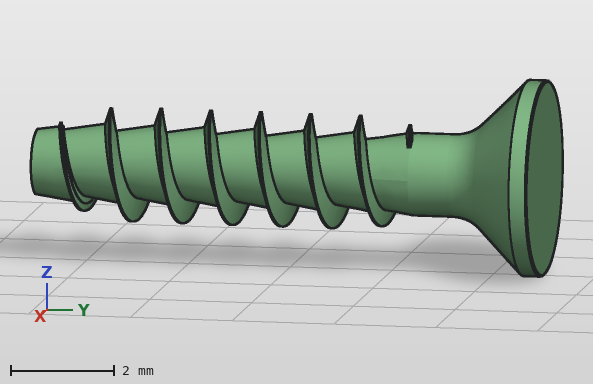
import cadquery as cq
import math


LENGTH = 10.0
HEAD_RADIUS = 1.9
RIM_HEIGHT = 0.35
RIM_CHAMFER = 0.03
SHANK_RADIUS = 0.8
NECK_FILLET = 0.8
SHANK_END = 2.54

PITCH = 0.98
CREST_RADIUS = 1.1
CREST_WIDTH = 0.03
RIDGE_DEPTH = 0.6
UPPER_FLANK = math.radians(12)
LOWER_FLANK = math.radians(18)
FIRST_CREST_Z = 2.405
START_TURNS = 0.14
LEAD_IN_END_TURNS = 1.25
START_CREST_RADIUS = 0.93
RUN_OUT_START_TURNS = 6.2
RUN_OUT_RATE = 0.31
STRETCH_TURNS = 0.95
POINTS_PER_STRETCH = 14

CORE_RADIUS = 0.778
ROOT_LARGE_RADIUS = 0.785
ROOT_TAPER = math.tan(math.radians(8.5))
TIP_RADIUS = 0.63
TIP_CHAMFER_WIDTH = 0.06
TIP_CHAMFER_HEIGHT = 0.02
GROOVE_GAP = 0.05
GROOVE_OUTER_RADIUS = 1.0
GROOVE_START_TURNS = -1.0
GROOVE_OVERRUN_TURNS = 0.5

TIP_TURNS = (LENGTH - FIRST_CREST_Z) / PITCH
GROOVE_END_TURNS = TIP_TURNS + GROOVE_OVERRUN_TURNS


def crest_radius(turns):
    """Crest radius: rises over the lead-in, is constant, then fades at the tip."""
    lead_in = (turns - START_TURNS) / (LEAD_IN_END_TURNS - START_TURNS)
    rising = START_CREST_RADIUS + (CREST_RADIUS - START_CREST_RADIUS) * lead_in
    fading = CREST_RADIUS - RUN_OUT_RATE * (turns - RUN_OUT_START_TURNS)
    return min(rising, CREST_RADIUS, fading)


def ridge_section(turns):
    """Corners (radius, offset along the axis) of the ridge, sunk into the core."""
    crest = crest_radius(turns)
    root = crest - RIDGE_DEPTH
    half_crest = CREST_WIDTH / 2
    return [
        (root, -half_crest - RIDGE_DEPTH * math.tan(UPPER_FLANK)),
        (crest, -half_crest),
        (crest, half_crest),
        (root, half_crest + RIDGE_DEPTH * math.tan(LOWER_FLANK)),
    ]


def groove_section(turns):
    """Corners of the groove between two ridges; the same at every turn."""
    upper = GROOVE_GAP
    lower = PITCH - GROOVE_GAP
    small_radius = ROOT_LARGE_RADIUS - PITCH * ROOT_TAPER
    return [
        (ROOT_LARGE_RADIUS, upper),
        (GROOVE_OUTER_RADIUS, upper),
        (GROOVE_OUTER_RADIUS, lower),
        (small_radius, lower),
    ]


def helix_point(radius, offset, turns):
    angle = 2 * math.pi * turns
    height = FIRST_CREST_Z + PITCH * turns + offset
    return cq.Vector(radius * math.cos(angle), radius * math.sin(angle), height)


def flank_faces(section, start_turns, end_turns):
    """Ruled faces joining the helical paths of neighbouring section corners."""
    step = (end_turns - start_turns) / POINTS_PER_STRETCH
    stations = [start_turns + step * i for i in range(POINTS_PER_STRETCH + 1)]
    corner_paths = zip(*[[helix_point(r, z, t) for r, z in section(t)] for t in stations])
    edges = [cq.Edge.makeSpline(list(path), parameters=stations) for path in corner_paths]
    return [
        cq.Face.makeRuledSurface(edge, following)
        for edge, following in zip(edges, edges[1:] + edges[:1])
    ]


def end_face(section, turns):
    corners = [helix_point(r, z, turns) for r, z in section(turns)]
    return cq.Face.makeFromWires(cq.Wire.makePolygon(corners, close=True))


def helical_solid(section, start_turns, end_turns):
    """Solid whose section corners each follow a right-handed helix."""
    faces = [end_face(section, start_turns), end_face(section, end_turns)]
    stretches = math.ceil((end_turns - start_turns) / STRETCH_TURNS)
    stretch = (end_turns - start_turns) / stretches
    for i in range(stretches):
        stretch_start = start_turns + stretch * i
        faces += flank_faces(section, stretch_start, stretch_start + stretch)
    solid = cq.Solid.makeSolid(cq.Shell.makeShell(faces))
    return cq.Workplane(obj=solid.fix())


def head_and_shank():
    """Revolved countersunk head, filleted into the plain shank."""
    fillet_drop = NECK_FILLET * (1 - math.cos(math.pi / 4))
    fillet_run = NECK_FILLET * math.sin(math.pi / 4)
    cone_end_radius = SHANK_RADIUS + fillet_drop
    cone_end_z = RIM_HEIGHT + HEAD_RADIUS - cone_end_radius
    fillet_end_z = cone_end_z + fillet_run
    fillet_mid = (
        SHANK_RADIUS + NECK_FILLET * (1 - math.cos(math.pi / 8)),
        fillet_end_z - NECK_FILLET * math.sin(math.pi / 8),
    )
    return (
        cq.Workplane("XZ")
        .moveTo(0, 0)
        .lineTo(HEAD_RADIUS - RIM_CHAMFER, 0)
        .lineTo(HEAD_RADIUS, RIM_CHAMFER)
        .lineTo(HEAD_RADIUS, RIM_HEIGHT)
        .lineTo(cone_end_radius, cone_end_z)
        .threePointArc(fillet_mid, (SHANK_RADIUS, fillet_end_z))
        .lineTo(SHANK_RADIUS, SHANK_END)
        .lineTo(0, SHANK_END)
        .close()
        .revolve(360, (0, 0, 0), (0, 1, 0))
    )


def cone(start_z, start_radius, end_z):
    """Coaxial cone frustum with the root taper, narrowing towards the tip."""
    end_radius = start_radius - (end_z - start_z) * ROOT_TAPER
    return cq.Workplane(
        obj=cq.Solid.makeCone(start_radius, end_radius, end_z - start_z, cq.Vector(0, 0, start_z))
    )


def threaded_core():
    """Grooved core, with a cone under the shoulder and a conical tip."""
    core_length = LENGTH - SHANK_END
    core = (
        cq.Workplane("XY")
        .workplane(offset=SHANK_END)
        .circle(CORE_RADIUS)
        .extrude(core_length)
        .cut(helical_solid(groove_section, GROOVE_START_TURNS, GROOVE_END_TURNS))
    )
    shoulder_cone = cone(SHANK_END, SHANK_RADIUS, SHANK_END + PITCH)
    tip_envelope = cone(SHANK_END, TIP_RADIUS + core_length * ROOT_TAPER, LENGTH)
    return core.union(shoulder_cone).intersect(tip_envelope)


def thread_ridge():
    """Helical ridge, trimmed at the shank shoulder and the tip face."""
    thread_zone = (
        cq.Workplane("XY")
        .workplane(offset=SHANK_END)
        .circle(HEAD_RADIUS)
        .extrude(LENGTH - SHANK_END)
    )
    return helical_solid(ridge_section, START_TURNS, TIP_TURNS).intersect(thread_zone)


def tip_chamfer():
    """Ring of triangular section, twice the chamfer size, that bevels the tip edge."""
    inner_radius = TIP_RADIUS - TIP_CHAMFER_WIDTH
    outer_radius = TIP_RADIUS + TIP_CHAMFER_WIDTH
    return (
        cq.Workplane("XZ")
        .moveTo(inner_radius, LENGTH)
        .lineTo(outer_radius, LENGTH)
        .lineTo(outer_radius, LENGTH - 2 * TIP_CHAMFER_HEIGHT)
        .close()
        .revolve(360, (0, 0, 0), (0, 1, 0))
    )


screw = head_and_shank().union(threaded_core()).union(thread_ridge()).cut(tip_chamfer())
result = screw.rotate((0, 0, 0), (1, 0, 0), 90).solids()